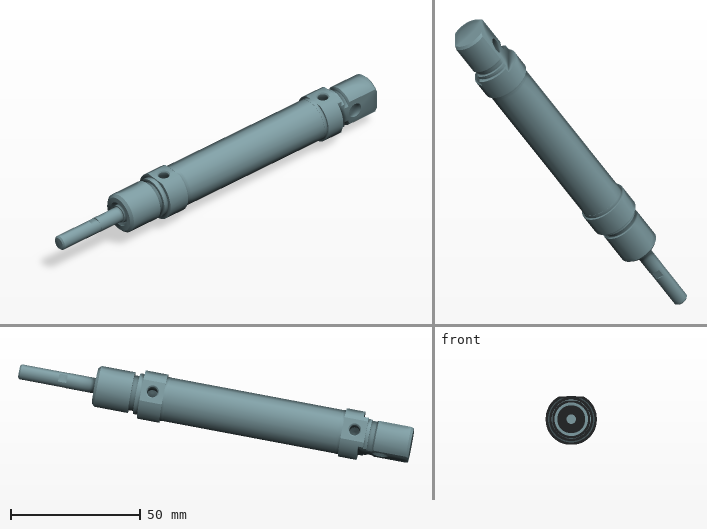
import cadquery as cq
TOTAL_LENGTH = 154.5

BARREL_DIA = 17.1
COLLAR_DIA = 17.3
CAP_DIA = 19.0
NOSE_DIA = 16.0
NECK_DIA = 13.8
ROD_DIA = 6.0
THREAD_DIA = 5.9

REAR_EDGE = 1.0
REAR_GROOVE_START = 13.8
REAR_GROOVE_FLOOR = 14.4
REAR_GROOVE_END = 16.4
REAR_BODY_START = 17.8
REAR_BODY_END = 27.0
BARREL_START = 28.5

CLEVIS_WIDTH = 12.0
CLEVIS_LENGTH = 19.8
PIVOT_DIA = 6.0
PIVOT_STATION = 11.0

BARREL_END = 96.1
FRONT_BODY_START = 97.5
FRONT_BODY_END = 106.3
FRONT_RIM_END = 108.2
FRONT_NOSE_START = 110.2
FRONT_NOSE_END = 124.5
NOSE_CHAMFER = 1.1

WIPER_GROOVE_DIA = 9.9
WIPER_ROOT_DIA = 9.0
WIPER_LIP_ROOT_DIA = 8.0
WIPER_LIP_DIA = 7.1
WIPER_GROOVE_DEPTH = 3.1

FLAT_HEIGHT = 8.5
PORT_DIA = 4.2
PORT_MOUTH_DIA = 5.1
PORT_CHAMFER = (PORT_MOUTH_DIA - PORT_DIA) / 2
PORT_DEPTH = 4.6
PORT_TIP_DEPTH = 1.2
REAR_PORT_STATION = 22.2
FRONT_PORT_STATION = 102.0

THREAD_START = 135.7
WRENCH_FLAT_END = 138.9
WRENCH_FLAT_THICKNESS = 5.0
ROD_TIP_CHAMFER = 0.6


def turned(points):
    """Solid of revolution about Y from (radius, station) points; both ends close on the axis."""
    outline = [(0, -points[0][1])]
    outline += [(radius, -station) for radius, station in points]
    outline += [(0, -points[-1][1])]
    return cq.Workplane("XY").polyline(outline).close().revolve(360, (0, 0, 0), (0, 1, 0))


def block(width, start, end, bottom, top):
    """Box centred on X, between two stations and two heights."""
    return cq.Workplane("XY").box(width, end - start, top - bottom).translate(
        (0, -(start + end) / 2, (bottom + top) / 2)
    )


def port(station, depth, tip_depth=0.0):
    """Cutter for a chamfered port; a tip depth adds a conical drill point."""
    radius = PORT_DIA / 2
    floor = FLAT_HEIGHT - depth
    outline = [
        (0, FLAT_HEIGHT),
        (PORT_MOUTH_DIA / 2, FLAT_HEIGHT),
        (radius, FLAT_HEIGHT - PORT_CHAMFER),
        (radius, floor),
        (0, floor - tip_depth),
    ]
    cutter = cq.Workplane("XZ").polyline(outline).close().revolve(360, (0, 0, 0), (0, 1, 0))
    return cutter.translate((0, -station, 0))


def port_flat(start, end):
    """Cutter that leaves a flat on top of a cap."""
    return block(CAP_DIA, start, end, FLAT_HEIGHT, CAP_DIA)


def make_rear_cap():
    cap = turned([
        (NOSE_DIA / 2 - REAR_EDGE, 0),
        (NOSE_DIA / 2, REAR_EDGE),
        (NOSE_DIA / 2, REAR_GROOVE_START),
        (NECK_DIA / 2, REAR_GROOVE_FLOOR),
        (NECK_DIA / 2, REAR_GROOVE_END),
        (NOSE_DIA / 2, REAR_GROOVE_END),
        (NOSE_DIA / 2, REAR_BODY_START),
        (CAP_DIA / 2, REAR_BODY_START),
        (CAP_DIA / 2, REAR_BODY_END),
        (COLLAR_DIA / 2, REAR_BODY_END),
        (COLLAR_DIA / 2, BARREL_START),
    ])
    clevis = block(CLEVIS_WIDTH, 0, CLEVIS_LENGTH, -CAP_DIA, CAP_DIA)
    body = block(2 * CAP_DIA, CLEVIS_LENGTH, BARREL_START, -CAP_DIA, CAP_DIA)
    cap = cap.intersect(clevis.union(body))
    pivot_hole = (
        cq.Workplane("YZ").center(-PIVOT_STATION, 0).circle(PIVOT_DIA / 2).extrude(CAP_DIA, both=True)
    )
    cap = cap.cut(pivot_hole).cut(port_flat(REAR_BODY_START, REAR_BODY_END))
    return cap.cut(port(REAR_PORT_STATION, PORT_DEPTH, PORT_TIP_DEPTH))


def make_barrel():
    return turned([(BARREL_DIA / 2, BARREL_START), (BARREL_DIA / 2, BARREL_END)])


def wiper_groove():
    """Cutter for the ring groove; both of its walls taper toward the floor."""
    outline = [
        (WIPER_LIP_DIA / 2, -FRONT_NOSE_END),
        (WIPER_LIP_ROOT_DIA / 2, WIPER_GROOVE_DEPTH - FRONT_NOSE_END),
        (WIPER_ROOT_DIA / 2, WIPER_GROOVE_DEPTH - FRONT_NOSE_END),
        (WIPER_GROOVE_DIA / 2, -FRONT_NOSE_END),
    ]
    return cq.Workplane("XY").polyline(outline).close().revolve(360, (0, 0, 0), (0, 1, 0))


def make_front_cap():
    cap = turned([
        (COLLAR_DIA / 2, BARREL_END),
        (COLLAR_DIA / 2, FRONT_BODY_START),
        (CAP_DIA / 2, FRONT_BODY_START),
        (CAP_DIA / 2, FRONT_BODY_END),
        (NOSE_DIA / 2, FRONT_BODY_END),
        (NOSE_DIA / 2, FRONT_RIM_END),
        (NECK_DIA / 2, FRONT_RIM_END),
        (NECK_DIA / 2, FRONT_NOSE_START),
        (NOSE_DIA / 2, FRONT_NOSE_START),
        (NOSE_DIA / 2, FRONT_NOSE_END - NOSE_CHAMFER),
        (NOSE_DIA / 2 - NOSE_CHAMFER, FRONT_NOSE_END),
    ])
    rod_bore = turned([(ROD_DIA / 2, BARREL_END), (ROD_DIA / 2, FRONT_NOSE_END)])
    cap = cap.cut(rod_bore).cut(wiper_groove()).cut(port_flat(FRONT_BODY_START, FRONT_BODY_END))
    return cap.cut(port(FRONT_PORT_STATION, FLAT_HEIGHT))


def make_rod():
    rod = turned([
        (ROD_DIA / 2, BARREL_END),
        (ROD_DIA / 2, THREAD_START),
        (THREAD_DIA / 2, THREAD_START),
        (THREAD_DIA / 2, TOTAL_LENGTH - ROD_TIP_CHAMFER),
        (THREAD_DIA / 2 - ROD_TIP_CHAMFER, TOTAL_LENGTH),
    ])
    half_flat = WRENCH_FLAT_THICKNESS / 2
    for bottom, top in ((half_flat, ROD_DIA), (-ROD_DIA, -half_flat)):
        rod = rod.cut(block(ROD_DIA, THREAD_START, WRENCH_FLAT_END, bottom, top))
    return rod


rear_cap = make_rear_cap()
barrel = make_barrel()
front_cap = make_front_cap()
rod = make_rod()

result = cq.Compound.makeCompound([rear_cap.val(), barrel.val(), front_cap.val(), rod.val()])